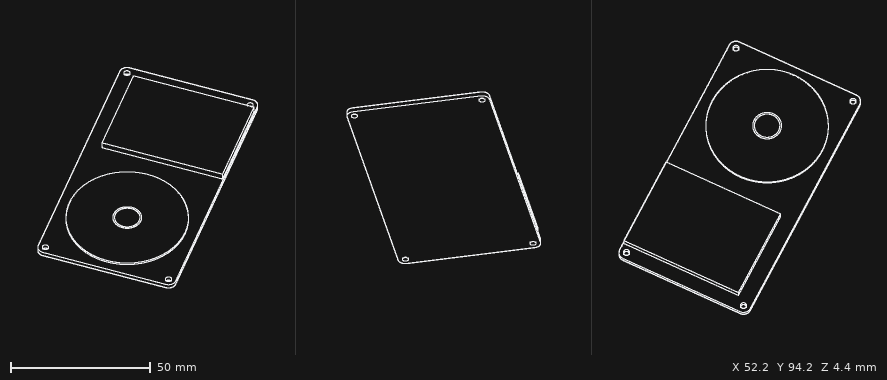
import cadquery as cq

plate_width = 52.2
plate_length = 94.2
plate_thickness = 1.8
corner_radius = 2.7

mount_hole_diameter = 2.2
mount_hole_inset = corner_radius

overall_height = 4.4
screen_width = 45.8
screen_length = 34.2
screen_right_margin = 0.3
screen_top_margin = 5.4
screen_height = overall_height - plate_thickness

wheel_diameter = 43.96
wheel_height = 0.8
wheel_bottom_margin = 25.2
wheel_center_x = -0.15
button_diameter = 9.1
groove_width = 0.6

wheel_center_y = wheel_bottom_margin - plate_length / 2
wheel_top = plate_thickness + wheel_height


def make_plate():
    """Rounded rectangular plate with a through hole in each corner."""
    hole_spacing_x = plate_width - 2 * mount_hole_inset
    hole_spacing_y = plate_length - 2 * mount_hole_inset
    return (
        cq.Workplane("XY")
        .rect(plate_width, plate_length)
        .extrude(plate_thickness)
        .edges("|Z")
        .fillet(corner_radius)
        .faces(">Z")
        .workplane()
        .rect(hole_spacing_x, hole_spacing_y, forConstruction=True)
        .vertices()
        .hole(mount_hole_diameter)
    )


def make_screen():
    """Rectangular block standing on the plate near its +X and +Y edges."""
    center_x = plate_width / 2 - screen_right_margin - screen_width / 2
    center_y = plate_length / 2 - screen_top_margin - screen_length / 2
    return (
        cq.Workplane("XY", origin=(center_x, center_y, plate_thickness))
        .rect(screen_width, screen_length)
        .extrude(screen_height)
    )


def make_wheel():
    """Low disc standing on the plate."""
    return (
        cq.Workplane("XY", origin=(wheel_center_x, wheel_center_y, plate_thickness))
        .circle(wheel_diameter / 2)
        .extrude(wheel_height)
    )


def make_button_groove():
    """Ring of round cross-section, centred on the wheel top, to cut around the button."""
    groove_radius = groove_width / 2
    ring_radius = button_diameter / 2 + groove_radius
    ring = cq.Solid.makeTorus(
        ring_radius,
        groove_radius,
        cq.Vector(wheel_center_x, wheel_center_y, wheel_top),
    )
    return cq.Workplane(obj=ring)


result = make_plate().union(make_screen()).union(make_wheel()).cut(make_button_groove())